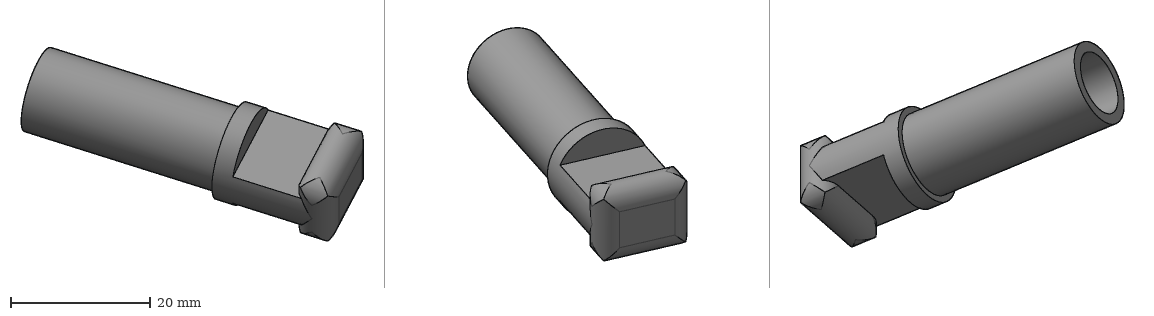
import cadquery as cq

tube_diameter = 12.7
bore_diameter = 9.5
tube_length = 30.0
collar_diameter = 14.7
collar_length = 3.0
total_length = 48.5
web_thickness = 6.0
head_thickness = 6.0
head_height = 12.0

collar_end = tube_length + collar_length
head_width = collar_diameter
head_radius = head_thickness / 2
head_center = total_length - head_radius


def cylinder_along_x(diameter, start, end):
    return cq.Workplane("YZ").workplane(offset=start).circle(diameter / 2).extrude(end - start)


def make_web():
    """Flat web: the collar cylinder carried on to the head and trimmed to two parallel flats."""
    web_length = head_center - collar_end
    slab = cq.Workplane("XY").box(web_length, collar_diameter, web_thickness)
    slab = slab.translate((collar_end + web_length / 2, 0, 0))
    return cylinder_along_x(collar_diameter, collar_end, head_center).intersect(slab)


def rounded_bar(edge_direction):
    """Head-sized block with the four edges along one axis rounded."""
    block = cq.Workplane("XY").box(head_thickness, head_width, head_height)
    if edge_direction == "X":
        return block.edges("|X").fillet(head_radius)
    if edge_direction == "Y":
        section_plane, section_length, depth = "XZ", head_height, head_width
    else:
        section_plane, section_length, depth = "XY", head_width, head_height
    return cq.Workplane(section_plane).slot2D(section_length, head_thickness, 90).extrude(depth / 2, both=True)


def make_head():
    """Cross head whose rounds along X, Y and Z meet in mitred corners."""
    head = rounded_bar("X").intersect(rounded_bar("Y")).intersect(rounded_bar("Z"))
    return head.translate((head_center, 0, 0))


tube = cylinder_along_x(tube_diameter, 0, tube_length)
collar = cylinder_along_x(collar_diameter, tube_length, collar_end)
bore = cylinder_along_x(bore_diameter, 0, tube_length)

result = tube.union(collar).union(make_web()).union(make_head()).cut(bore)